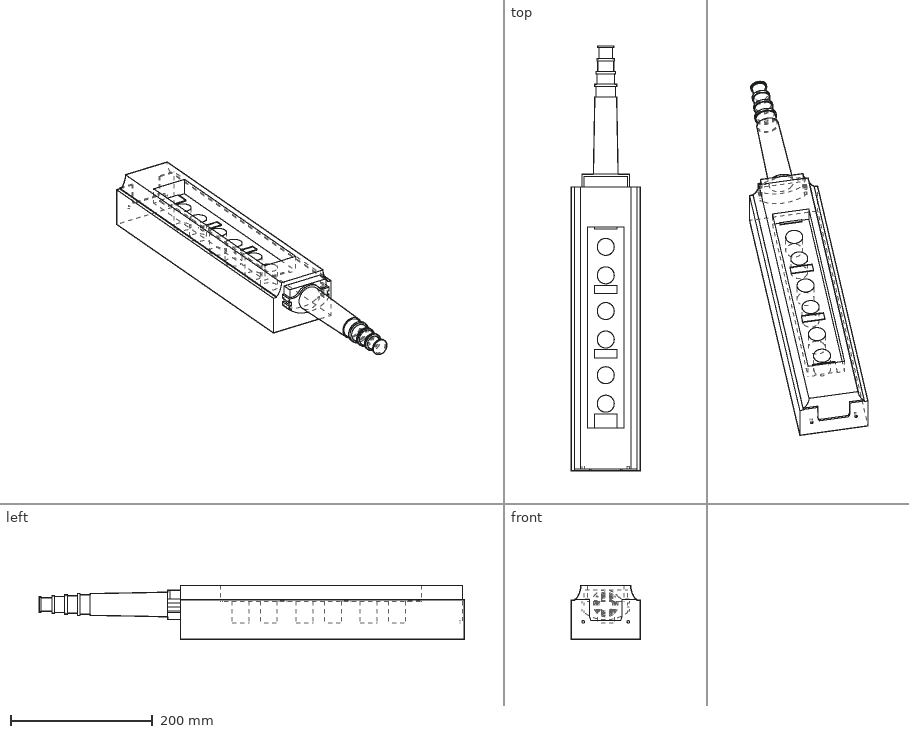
import cadquery as cq
import math

TOTAL_LENGTH = 599.5

HOUSING_LENGTH = 400.5
HOUSING_HEIGHT = 76.0
BASE_WIDTH = 98.0
BASE_HEIGHT = 55.0
LEDGE_HALF_WIDTH = 44.0
LEDGE_HEIGHT = 56.5
LID_HALF_WIDTH = 35.5
LID_RIM_HEIGHT = 3.5
FLANK_MIDDLE = (37.0, 66.0)
FLANK_END = (39.5, 60.5)

END_PLATE_THICKNESS = 2.5
OPENING_TOP_HALF_WIDTH = 23.0
OPENING_BOTTOM_HALF_WIDTH = 21.0
OPENING_BOTTOM = 26.5
OPENING_CORNER_HEIGHT = 32.0
SCREW_X = 32.0
SCREW_Z = 24.5
SCREW_DIAMETER = 3.5
SCREW_DEPTH = 6.0

POCKET_FRONT = 60.5
POCKET_REAR = 344.0
POCKET_WIDTH = 52.0
POCKET_DEPTH = 23.0
BUTTON_DIAMETER = 24.0
BUTTON_DEPTH = 30.0
BUTTON_PITCH = 40.0
BUTTON_PAIR_PITCH = 90.5
BUTTON_PAIR_COUNT = 3
FIRST_BUTTON_Y = 95.0

LABEL_WIDTH = 32.0
LABEL_LENGTH = 11.5
LABEL_HEIGHT = 1.0
LABEL_REAR_OFFSET = 14.5
REAR_LABEL_LENGTH = 3.0

NECK_LENGTH = 18.0
NECK_FACE_THICKNESS = 3.5
NECK_HALF_WIDTH = 33.5
NECK_CORE_HALF_WIDTH = 30.5
NECK_TOP = 69.5
NECK_SHOULDER = 57.0
NECK_SIDE_BOTTOM = 40.0
NECK_BOTTOM = 27.5
COLLAR_FOOT_HALF_WIDTH = 26.5
COLLAR_FOOT_RISE = 5.0
NECK_GROOVE_COUNT = 2
NECK_GROOVE_PITCH = 11.5
NECK_GROOVE_HEIGHT = 5.7

SLEEVE_AXIS_Z = 49.0
SLEEVE_ROOT_RADIUS = 17.5
SLEEVE_BODY_RADIUS = 15.5
SLEEVE_TAPER_START = 428.5
SLEEVE_STEP = 18.0
LIP_LENGTHS = (3.5, 3.5, 3.5, 2.5)
LIP_RADII = (15.5, 14.0, 12.5, 11.5)
GROOVE_RADII = (14.0, 12.5, 11.5, 9.5)

NECK_END = HOUSING_LENGTH + NECK_LENGTH
POCKET_FLOOR = HOUSING_HEIGHT - POCKET_DEPTH


def section(y):
    """XZ workplane at Y = y; extruding by a negative distance runs toward +Y."""
    return cq.Workplane(cq.Plane(origin=(0, y, 0), xDir=(1, 0, 0), normal=(0, -1, 0)))


def block(half_width, y_front, y_rear, z_bottom, z_top):
    """Box centred on X = 0 between the given Y and Z limits."""
    size = (2 * half_width, y_rear - y_front, z_top - z_bottom)
    box = cq.Workplane("XY").box(*size, centered=(True, False, False))
    return box.translate((0, y_front, z_bottom))


def make_base():
    base = block(BASE_WIDTH / 2, 0, HOUSING_LENGTH, 0, BASE_HEIGHT)
    ledge = block(LEDGE_HALF_WIDTH, 0, HOUSING_LENGTH, BASE_HEIGHT, LEDGE_HEIGHT)
    return base.union(ledge)


def make_lid():
    rim_bottom = HOUSING_HEIGHT - LID_RIM_HEIGHT
    profile = (
        section(END_PLATE_THICKNESS)
        .moveTo(0, LEDGE_HEIGHT)
        .lineTo(0, HOUSING_HEIGHT)
        .lineTo(LID_HALF_WIDTH, HOUSING_HEIGHT)
        .lineTo(LID_HALF_WIDTH, rim_bottom)
        .threePointArc(FLANK_MIDDLE, FLANK_END)
        .tangentArcPoint((LEDGE_HALF_WIDTH, LEDGE_HEIGHT), relative=False)
        .close()
    )
    half = profile.extrude(END_PLATE_THICKNESS - HOUSING_LENGTH)
    return half.union(half.mirror("YZ"))


def make_front_opening():
    corners = [
        (-OPENING_TOP_HALF_WIDTH, LEDGE_HEIGHT),
        (-OPENING_TOP_HALF_WIDTH, OPENING_CORNER_HEIGHT),
        (-OPENING_BOTTOM_HALF_WIDTH, OPENING_BOTTOM),
        (OPENING_BOTTOM_HALF_WIDTH, OPENING_BOTTOM),
        (OPENING_TOP_HALF_WIDTH, OPENING_CORNER_HEIGHT),
        (OPENING_TOP_HALF_WIDTH, LEDGE_HEIGHT),
    ]
    return section(0).polyline(corners).close().extrude(-END_PLATE_THICKNESS)


def make_screw_holes():
    centres = [(-SCREW_X, SCREW_Z), (SCREW_X, SCREW_Z)]
    return section(0).pushPoints(centres).circle(SCREW_DIAMETER / 2).extrude(-SCREW_DEPTH)


def make_pocket():
    pocket = block(POCKET_WIDTH / 2, POCKET_FRONT, POCKET_REAR, POCKET_FLOOR, HOUSING_HEIGHT)
    centres = []
    for pair in range(BUTTON_PAIR_COUNT):
        pair_y = FIRST_BUTTON_Y + pair * BUTTON_PAIR_PITCH
        centres += [(0, pair_y), (0, pair_y + BUTTON_PITCH)]
    buttons = (
        cq.Workplane("XY", origin=(0, 0, POCKET_FLOOR))
        .pushPoints(centres)
        .circle(BUTTON_DIAMETER / 2)
        .extrude(-BUTTON_DEPTH)
    )
    return pocket.union(buttons)


def make_labels():
    """Label plates; the foremost one reaches the front wall, the last lies at the rear wall."""
    label_top = POCKET_FLOOR + LABEL_HEIGHT
    rear_label_front = POCKET_REAR - REAR_LABEL_LENGTH
    labels = block(LABEL_WIDTH / 2, rear_label_front, POCKET_REAR, POCKET_FLOOR, label_top)
    for pair in range(BUTTON_PAIR_COUNT):
        rear = FIRST_BUTTON_Y + pair * BUTTON_PAIR_PITCH - LABEL_REAR_OFFSET
        front = POCKET_FRONT if pair == 0 else rear - LABEL_LENGTH
        labels = labels.union(block(LABEL_WIDTH / 2, front, rear, POCKET_FLOOR, label_top))
    return labels


def make_neck():
    neck = (
        section(HOUSING_LENGTH)
        .moveTo(-NECK_HALF_WIDTH, NECK_SHOULDER)
        .lineTo(-NECK_HALF_WIDTH, NECK_SIDE_BOTTOM)
        .threePointArc((0, NECK_BOTTOM), (NECK_HALF_WIDTH, NECK_SIDE_BOTTOM))
        .lineTo(NECK_HALF_WIDTH, NECK_SHOULDER)
        .close()
        .extrude(-NECK_LENGTH)
    )
    face_start = NECK_END - NECK_FACE_THICKNESS
    for index in range(NECK_GROOVE_COUNT):
        top = NECK_SHOULDER - NECK_GROOVE_HEIGHT - index * NECK_GROOVE_PITCH
        limits = (HOUSING_LENGTH, NECK_END, top - NECK_GROOVE_HEIGHT, top)
        band = block(NECK_HALF_WIDTH, *limits)
        neck = neck.cut(band.cut(block(NECK_CORE_HALF_WIDTH, *limits)))
    upper = block(NECK_CORE_HALF_WIDTH, HOUSING_LENGTH, face_start, NECK_SHOULDER, NECK_TOP)
    return neck.union(upper).union(make_collar(face_start))


def make_collar(y_start):
    """Round collar about the sleeve axis, blending outward onto the neck shoulder."""
    radius = NECK_TOP - SLEEVE_AXIS_Z
    foot_top = NECK_SHOULDER + COLLAR_FOOT_RISE
    foot_angle = math.asin((foot_top - SLEEVE_AXIS_Z) / radius)
    middle_angle = (foot_angle + math.pi / 2) / 2
    middle = (radius * math.cos(middle_angle), SLEEVE_AXIS_Z + radius * math.sin(middle_angle))
    half = (
        section(y_start)
        .moveTo(0, NECK_SHOULDER)
        .lineTo(0, NECK_TOP)
        .threePointArc(middle, (radius * math.cos(foot_angle), foot_top))
        .tangentArcPoint((COLLAR_FOOT_HALF_WIDTH, NECK_SHOULDER), relative=False)
        .close()
        .extrude(-NECK_FACE_THICKNESS)
    )
    return half.union(half.mirror("YZ"))


def make_sleeve():
    body_end = TOTAL_LENGTH - len(LIP_RADII) * SLEEVE_STEP
    points = [
        (0, NECK_END),
        (SLEEVE_ROOT_RADIUS, NECK_END),
        (SLEEVE_ROOT_RADIUS, SLEEVE_TAPER_START),
        (SLEEVE_BODY_RADIUS, body_end),
    ]
    for index, (groove, lip, lip_length) in enumerate(zip(GROOVE_RADII, LIP_RADII, LIP_LENGTHS)):
        groove_start = body_end + index * SLEEVE_STEP
        lip_end = groove_start + SLEEVE_STEP
        lip_start = lip_end - lip_length
        points += [(groove, groove_start), (groove, lip_start), (lip, lip_start), (lip, lip_end)]
    points.append((0, TOTAL_LENGTH))
    sleeve = cq.Workplane("XY").polyline(points).close().revolve(360, (0, 0), (0, 1))
    return sleeve.translate((0, 0, SLEEVE_AXIS_Z))


housing = make_base().union(make_lid())
housing = housing.cut(make_front_opening()).cut(make_screw_holes())
housing = housing.cut(make_pocket()).union(make_labels())
result = housing.union(make_neck()).union(make_sleeve())